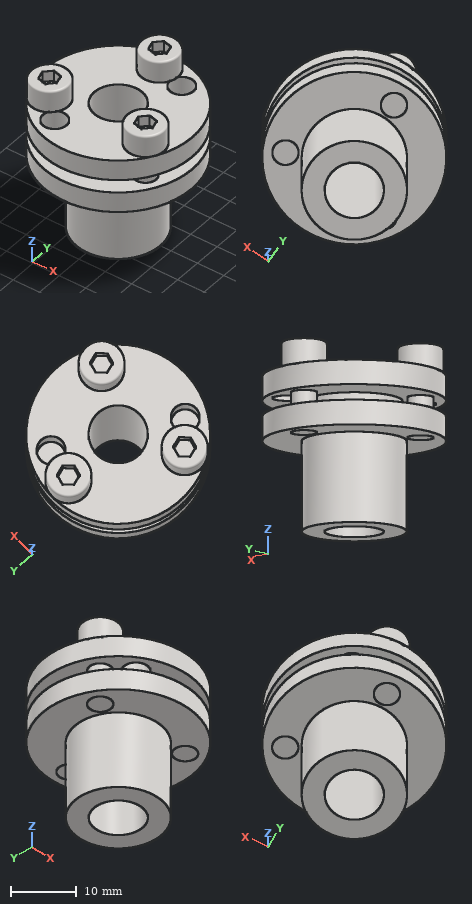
import cadquery as cq
import math

overall_height = 28.0
flange_diameter = 28.0
flange_thickness = 3.8
neck_height = 2.4
neck_diameter = 14.67
tube_diameter = 16.02
bore_diameter = 9.0

head_diameter = 7.0
head_height = 4.0
head_fillet = 0.4
shank_diameter = 4.0
socket_across_flats = 3.0
socket_depth = 2.0
socket_turn = 45.0
screw_angles = [90.0, 210.0, 330.0]

flange_hole_diameter = 4.4
flange_hole_angles = [60.0, 240.0]

hole_circle_radius = (flange_diameter - head_diameter) / 2

head_top = overall_height
upper_flange_top = head_top - head_height
upper_flange_bottom = upper_flange_top - flange_thickness
lower_flange_top = upper_flange_bottom - neck_height
lower_flange_bottom = lower_flange_top - flange_thickness


def cylinder(diameter, bottom, top, center=(0, 0)):
    """Vertical cylinder between two levels."""
    base = cq.Workplane("XY", origin=(*center, bottom))
    return base.circle(diameter / 2).extrude(top - bottom)


def on_hole_circle(angle):
    """XY position on the common hole circle at an angle in degrees."""
    turn = math.radians(angle)
    return (hole_circle_radius * math.cos(turn), hole_circle_radius * math.sin(turn))


def make_hub():
    """Tube, lower flange, neck and upper flange in one piece, with its holes."""
    hub = cylinder(tube_diameter, 0, lower_flange_bottom)
    hub = hub.union(cylinder(flange_diameter, lower_flange_bottom, lower_flange_top))
    hub = hub.union(cylinder(neck_diameter, lower_flange_top, upper_flange_bottom))
    hub = hub.union(cylinder(flange_diameter, upper_flange_bottom, upper_flange_top))
    hub = hub.cut(cylinder(bore_diameter, 0, upper_flange_top))

    for angle in screw_angles:
        center = on_hole_circle(angle)
        hub = hub.cut(cylinder(shank_diameter, lower_flange_bottom, upper_flange_top, center))

    for angle in flange_hole_angles:
        center = on_hole_circle(angle)
        hub = hub.cut(cylinder(flange_hole_diameter, upper_flange_bottom, upper_flange_top, center))
    return hub


def make_screw(angle):
    """Socket head screw whose shank ends flush with the underside of the lower flange."""
    center = on_hole_circle(angle)
    head = cylinder(head_diameter, upper_flange_top, head_top, center)
    head = head.faces(">Z").edges().fillet(head_fillet)
    shank = cylinder(shank_diameter, lower_flange_bottom, upper_flange_top, center)

    socket_across_corners = socket_across_flats / math.cos(math.pi / 6)
    socket = (
        cq.Workplane("XY", origin=(*center, head_top - socket_depth))
        .transformed(rotate=(0, 0, socket_turn))
        .polygon(6, socket_across_corners)
        .extrude(socket_depth)
    )
    return head.union(shank).cut(socket)


hub = make_hub()
screws = [make_screw(angle) for angle in screw_angles]

result = cq.Compound.makeCompound([hub.val(), *[screw.val() for screw in screws]])